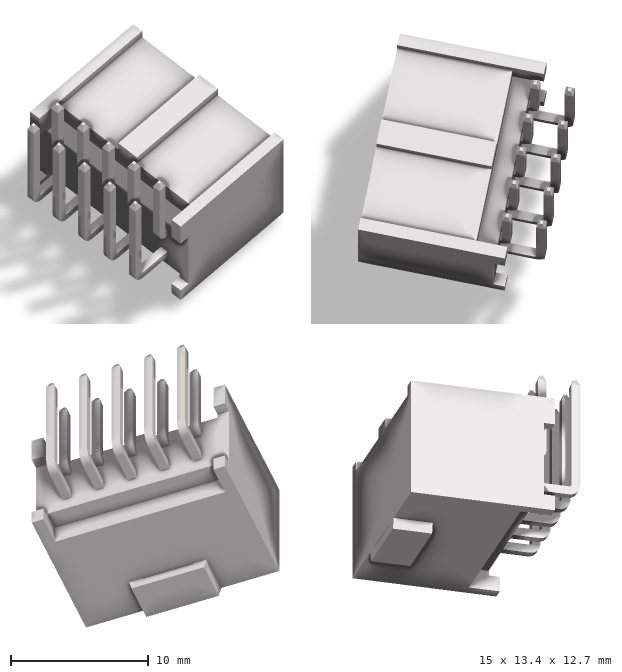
import cadquery as cq


length = 15.04
height = 9.0
plate_thickness = 0.9
body_depth = 10.03
step_depth = 8.53
body_top = 8.21
roof_fillet = 0.15

wall_bottom = 1.53
wall_top = 6.63
wall_bevel_depth = 0.05
upper_bevel_height = 0.1
lower_bevel_height = 0.06

upper_foot_height = 2.08
lower_foot_height = 1.17

rib_width = 1.86
rib_fillet = 0.08

key_top_width = 6.02
key_bottom_width = 5.65
key_height = 0.78
key_depth = 2.96
key_slot_width = 3.91
key_slot_height = 0.09

pins_per_row = 5
pitch = 2.54
pin_size = 0.65
pin_top = 11.87
tip_height = 0.5
tip_size = 0.23
bend_inner_radius = 0.2
total_depth = 13.4

inner_length = length - 2 * plate_thickness
bend_outer_radius = bend_inner_radius + pin_size
long_reach = total_depth
short_reach = total_depth - pitch
plate_depth = short_reach
wall_middle = (wall_bottom + wall_top) / 2


def side_extrusion(points, width, x_center=0):
    """Extrude an outline of (y, z) points along X, centred on x_center."""
    outline = cq.Workplane("YZ", origin=(x_center - width / 2, 0, 0)).polyline(points).close()
    return outline.extrude(width)


def front_extrusion(points, depth):
    """Extrude an outline of (x, z) points from the mating face towards the pins."""
    return cq.Workplane("XZ").polyline(points).close().extrude(depth)


def make_body():
    """Middle of the housing, with the pin wall standing out at the back."""
    return side_extrusion(
        [
            (0, 0),
            (0, body_top),
            (-step_depth, body_top),
            (-step_depth, wall_top),
            (-body_depth + wall_bevel_depth, wall_top),
            (-body_depth, wall_top - upper_bevel_height),
            (-body_depth, wall_bottom + lower_bevel_height),
            (-body_depth + wall_bevel_depth, wall_bottom),
            (-step_depth, wall_bottom),
            (-step_depth, 0),
        ],
        inner_length,
    )


def make_end_plate(side):
    """End plate with two feet; side is -1 or 1."""
    return side_extrusion(
        [
            (0, 0),
            (0, height),
            (-plate_depth, height),
            (-plate_depth, height - upper_foot_height),
            (-body_depth, height - upper_foot_height),
            (-body_depth, lower_foot_height),
            (-plate_depth, lower_foot_height),
            (-plate_depth, 0),
        ],
        plate_thickness,
        side * (length - plate_thickness) / 2,
    )


def make_rib():
    """Rib along the middle of the roof, as high as the end plates."""
    half = rib_width / 2
    return front_extrusion([(-half, wall_top), (half, wall_top), (half, height), (-half, height)], step_depth)


def make_roof_fillet(x_wall, direction, radius):
    """Concave fillet between the roof and a wall at x_wall; direction points away from the wall."""
    return (
        cq.Workplane("XZ", origin=(x_wall, 0, body_top))
        .lineTo(direction * radius, 0)
        .radiusArc((0, radius), direction * radius)
        .close()
        .extrude(step_depth)
    )


def make_key():
    """Tapered key below the floor, with a shallow slot between it and the floor."""
    half_top = key_top_width / 2
    half_bottom = key_bottom_width / 2
    half_slot = key_slot_width / 2
    return front_extrusion(
        [
            (-half_top, 0),
            (-half_bottom, -key_height),
            (half_bottom, -key_height),
            (half_top, 0),
            (half_slot, 0),
            (half_slot, -key_slot_height),
            (-half_slot, -key_slot_height),
            (-half_slot, 0),
        ],
        key_depth,
    )


def make_pin(x, z, reach):
    """Pin leaving the wall at height z, bent upwards with its back face at depth reach."""
    back = -reach
    front = back + pin_size
    bottom = z - pin_size / 2
    top = z + pin_size / 2
    shoulder = pin_top - tip_height
    shank = (
        cq.Workplane("YZ", origin=(x - pin_size / 2, 0, 0))
        .moveTo(-step_depth, bottom)
        .lineTo(back + bend_outer_radius, bottom)
        .radiusArc((back, bottom + bend_outer_radius), bend_outer_radius)
        .lineTo(back, shoulder)
        .lineTo(front, shoulder)
        .lineTo(front, top + bend_inner_radius)
        .radiusArc((front + bend_inner_radius, top), -bend_inner_radius)
        .lineTo(-step_depth, top)
        .close()
        .extrude(pin_size)
    )
    tip = (
        cq.Workplane("XY", origin=(x, back + pin_size / 2, shoulder))
        .rect(pin_size, pin_size)
        .workplane(offset=tip_height)
        .rect(tip_size, tip_size)
        .loft()
    )
    return shank.union(tip)


result = make_body().union(make_rib()).union(make_key())

for side in (-1, 1):
    result = result.union(make_end_plate(side))
    result = result.union(make_roof_fillet(side * inner_length / 2, -side, roof_fillet))
    result = result.union(make_roof_fillet(side * rib_width / 2, side, rib_fillet))

for index in range(pins_per_row):
    pin_x = (index - (pins_per_row - 1) / 2) * pitch
    result = result.union(make_pin(pin_x, wall_middle - pitch / 2, long_reach))
    result = result.union(make_pin(pin_x, wall_middle + pitch / 2, short_reach))